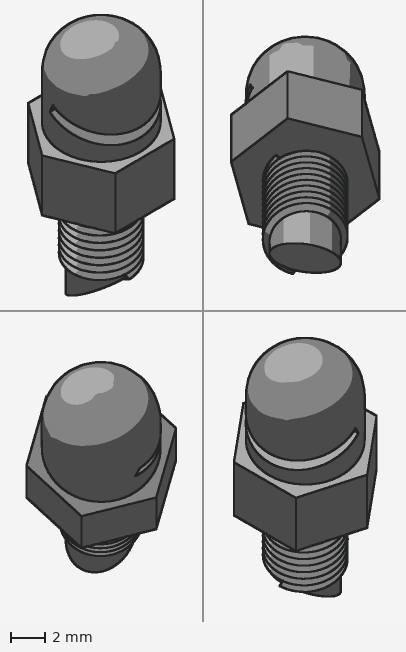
import cadquery as cq
import math


hex_sides = 6
hex_across_flats = 7.9
hex_height = 4.85

cap_diameter = 7.0
cap_straight_height = 4.0
dome_radius = 3.0

slot_slope = 17.0
slot_width = 0.82
slot_end_x = -0.3
slot_end_z = 8.02
slot_end_tilt = 23.0

shank_diameter = 4.2
shank_length = 9.64
tip_slope = 38.0

thread_diameter = 5.0
thread_pitch = 0.6
thread_base_width = 0.52
thread_length = 6.2

half_sector = 180 / hex_sides
hex_across_corners = hex_across_flats / math.cos(math.radians(half_sector))
cap_height = cap_straight_height + dome_radius
slot_run = cap_diameter
shank_radius = shank_diameter / 2


def make_collar():
    """Hexagon with two flats facing -X and +X."""
    return (
        cq.Workplane("XY")
        .polygon(hex_sides, hex_across_corners)
        .extrude(hex_height)
        .rotate((0, 0, 0), (0, 0, 1), half_sector)
    )


def make_cap():
    """Cylinder whose top edge is rounded into a dome with a small flat."""
    return (
        cq.Workplane("XY")
        .workplane(offset=hex_height)
        .circle(cap_diameter / 2)
        .extrude(cap_height)
        .faces(">Z")
        .edges()
        .fillet(dome_radius)
    )


def make_slot():
    """Slot falling towards +X; its upper inner corner is at (slot_end_x, slot_end_z)."""
    end_length = slot_width / math.cos(math.radians(slot_end_tilt - slot_slope))
    return (
        cq.Workplane("XZ")
        .moveTo(slot_end_x, slot_end_z)
        .polarLine(slot_run, -slot_slope)
        .polarLine(end_length, -90 - slot_end_tilt)
        .polarLine(slot_run, 180 - slot_slope)
        .close()
        .extrude(cap_diameter, both=True)
    )


def make_shank():
    """Round shank, its oblique end pointed at the -X side."""
    tip_rise = shank_diameter * math.tan(math.radians(tip_slope))
    side_profile = (
        cq.Workplane("XZ")
        .moveTo(-shank_radius, 0)
        .lineTo(-shank_radius, -shank_length)
        .lineTo(shank_radius, tip_rise - shank_length)
        .lineTo(shank_radius, 0)
        .close()
        .extrude(shank_radius, both=True)
    )
    cylinder = cq.Workplane("XY").circle(shank_radius).extrude(-shank_length)
    return cylinder.intersect(side_profile)


def make_body():
    """Collar, slotted cap and shank in one piece."""
    return make_collar().union(make_cap()).cut(make_slot()).union(make_shank())


def make_thread():
    """Triangular ridge wound on the shank, right-handed, trimmed by the underside of the collar."""
    helix = cq.Wire.makeHelix(thread_pitch, thread_length, shank_radius)
    half_base = thread_base_width / 2
    ridge = (
        cq.Workplane("XZ")
        .moveTo(shank_radius, -half_base)
        .lineTo(thread_diameter / 2, 0)
        .lineTo(shank_radius, half_base)
        .close()
        .sweep(cq.Workplane(helix), isFrenet=True)
        .translate((0, 0, -thread_length))
    )
    collar_space = cq.Workplane("XY").circle(thread_diameter).extrude(thread_pitch)
    return ridge.cut(collar_space)


body = make_body()
thread = make_thread()

result = cq.Compound.makeCompound([body.solids().val(), thread.solids().val()])